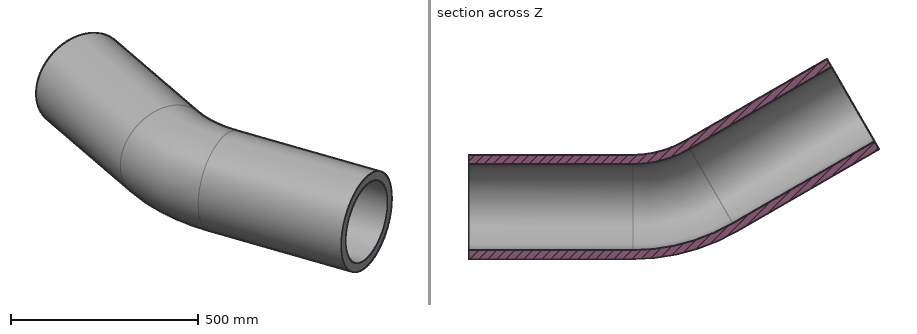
import cadquery as cq
import math

overall_length = 1096.0
outer_diameter = 280.0
inner_diameter = 229.0
bend_angle = 30.0
bend_radius = 1.5 * outer_diameter

bend_sin = math.sin(math.radians(bend_angle))
bend_cos = math.cos(math.radians(bend_angle))
end_face_reach = outer_diameter / 2 * bend_sin
leg_length = (overall_length - bend_radius * bend_sin - end_face_reach) / (1 + bend_cos)

half_sin = math.sin(math.radians(bend_angle / 2))
half_cos = math.cos(math.radians(bend_angle / 2))
bend_start = (leg_length, 0)
bend_middle = (leg_length + bend_radius * half_sin, bend_radius * (1 - half_cos))
bend_end = (leg_length + bend_radius * bend_sin, bend_radius * (1 - bend_cos))
outlet_center = (bend_end[0] + leg_length * bend_cos, bend_end[1] + leg_length * bend_sin)

centreline = (
    cq.Workplane("XY")
    .lineTo(*bend_start)
    .threePointArc(bend_middle, bend_end)
    .lineTo(*outlet_center)
)

result = (
    cq.Workplane("YZ")
    .circle(outer_diameter / 2)
    .circle(inner_diameter / 2)
    .sweep(centreline)
)